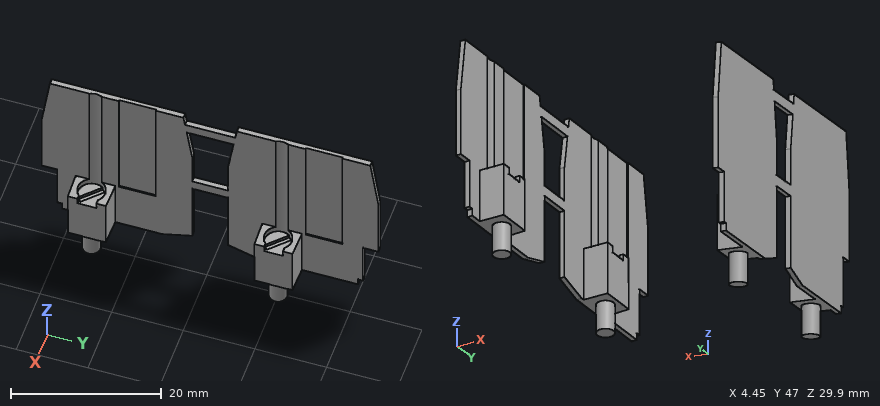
import cadquery as cq

total_length = 47.0
plate_height = 25.65
plate_thickness = 0.8
gap_width = 5.0

top_outer_y = 22.35
top_inner_y = 3.7
shoulder_z = 17.75
lug_bottom_z = 7.95
lower_outer_y = 21.35
foot_outer_y = 20.65
foot_step_z = 1.05
inner_corner_z = 1.25
inner_bevel_y = 6.7

bar_height = 1.55
bar_bottoms_z = (22.7, 11.2)

total_depth = 4.45
screw_x = 2.5
clamp_pitch = 26.05
first_clamp_y = 10.05
clamp_centers_y = (first_clamp_y, first_clamp_y - clamp_pitch)
block_height = 7.65
block_root_width = 5.55
block_tip_width = 5.3
pin_diameter = 2.55
pin_length = 4.25
head_diameter = 3.8
head_recess_depth = 0.95
side_opening_width = 2.65
driver_slot_width = 0.85
driver_slot_depth = 0.45
driver_slot_angle = -45.0

recess_width = 5.1
recess_offset_y = 5.85
recess_depth = 0.2


def box(x_start, x_end, y_center, width, z_bottom, z_top):
    """Box centred on y_center."""
    return (
        cq.Workplane("XY", origin=(x_start, y_center, z_bottom))
        .rect(x_end - x_start, width)
        .extrude(z_top - z_bottom)
        .translate(((x_end - x_start) / 2, 0, 0))
    )


def cylinder(y_center, diameter, z_bottom, z_top):
    """Vertical cylinder on a screw axis."""
    base = cq.Workplane("XY", origin=(screw_x, y_center, z_bottom))
    return base.circle(diameter / 2).extrude(z_top - z_bottom)


def make_plate():
    """Plate on the +Y side of the gap."""
    outline = [
        (top_inner_y, plate_height),
        (top_outer_y, plate_height),
        (total_length / 2, shoulder_z),
        (total_length / 2, lug_bottom_z),
        (lower_outer_y, lug_bottom_z),
        (lower_outer_y, foot_step_z),
        (foot_outer_y, foot_step_z),
        (foot_outer_y, 0),
        (inner_bevel_y, 0),
        (gap_width / 2, inner_corner_z),
        (gap_width / 2, shoulder_z),
    ]
    return cq.Workplane("YZ").polyline(outline).close().extrude(plate_thickness)


def make_block(y_center):
    """Clamp block, slightly narrower at its free end."""
    root = block_root_width / 2
    tip = block_tip_width / 2
    outline = [(0, -root), (plate_thickness, -root), (total_depth, -tip),
               (total_depth, tip), (plate_thickness, root), (0, root)]
    return (
        cq.Workplane("XY", origin=(0, y_center, 0))
        .polyline(outline)
        .close()
        .extrude(block_height)
    )


def driver_slot(y_center, head_top_z):
    """Diagonal slot across a screw head, ending on the head's rim."""
    slot_bottom_z = head_top_z - driver_slot_depth
    bar = (
        cq.Workplane("XY", origin=(screw_x, y_center, slot_bottom_z))
        .transformed(rotate=(0, 0, driver_slot_angle))
        .rect(head_diameter, driver_slot_width)
        .extrude(driver_slot_depth)
    )
    return bar.intersect(cylinder(y_center, head_diameter, slot_bottom_z, head_top_z))


plate = make_plate()
result = plate.union(plate.mirror("XZ"))

bar_length = 2 * top_inner_y + plate_thickness
for bar_bottom_z in bar_bottoms_z:
    bar_top_z = bar_bottom_z + bar_height
    result = result.union(box(0, plate_thickness, 0, bar_length, bar_bottom_z, bar_top_z))

head_top_z = block_height - head_recess_depth
for clamp_y in clamp_centers_y:
    result = result.union(make_block(clamp_y))
    result = result.union(cylinder(clamp_y, pin_diameter, -pin_length, 0))

    result = result.cut(cylinder(clamp_y, head_diameter, head_top_z, plate_height))
    result = result.cut(box(screw_x, total_depth, clamp_y, side_opening_width, head_top_z, block_height))
    result = result.cut(driver_slot(clamp_y, head_top_z))

    recess_floor_x = plate_thickness - recess_depth
    recess_y = clamp_y + recess_offset_y
    result = result.cut(
        box(recess_floor_x, plate_thickness, recess_y, recess_width, block_height, plate_height)
    )